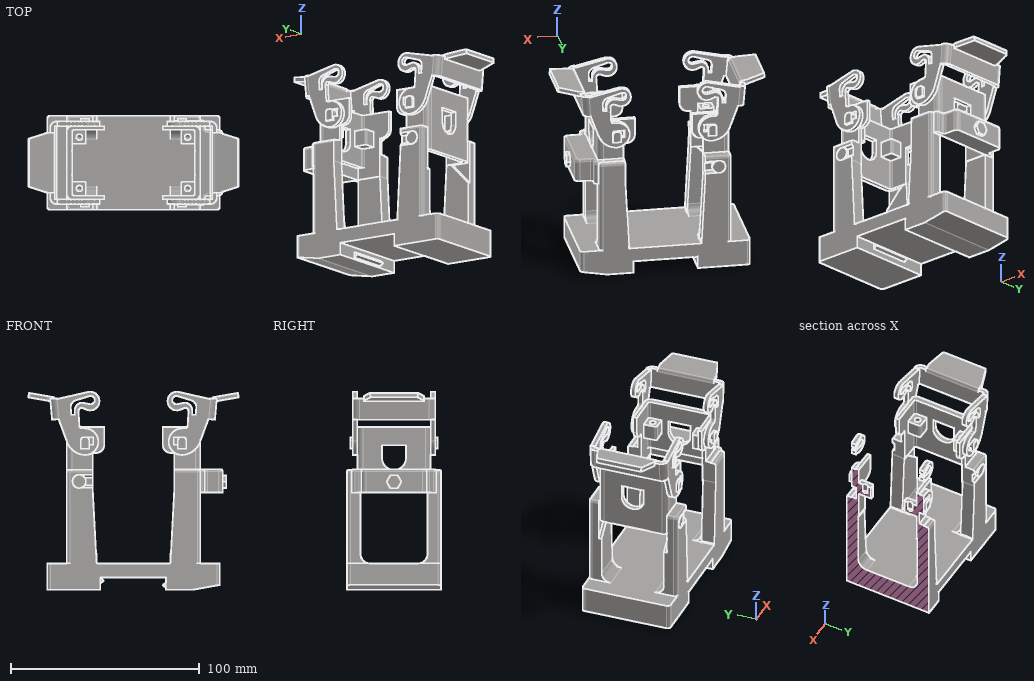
import cadquery as cq
import math

BASE_LENGTH = 91.6
BASE_WIDTH = 50.0
BASE_HEIGHT = 14.1
BASE_CORNER_RADIUS = 1.8
RAIL_DEPTH = 6.5
RAIL_LEFT = -17.5
RAIL_RIGHT = 17.2
TOE_TAPER_START = 31.4
TOE_TAPER_RISE = 2.6
TOOTH_REACH = 1.75
TOOTH_HEIGHT = 3.0
LEFT_TOOTH_Z = 4.9
RIGHT_TOOTH_Z = 2.5
TOOTH_LENGTH = 24.0

LEG_OUTER_X = 35.5
LEG_INNER_X = 21.5
LEG_FOOT_X = 19.5
LEG_TOP = 63.6
LEG_TAPER_TOP = 52.0
LEG_INNER_Y = 17.7
LEG_CORNER_RADIUS = 1.8
LEG_TOP_RADIUS = 1.0
ROOT_RADIUS = 5.0
FOOT_FILLET = 0.6

BRACKET_BOTTOM = 51.7
BRACKET_TOP = 86.4
BRACKET_HALF_WIDTH = 19.4
BRACKET_BACK = 3.0
BRACKET_SIDE = 2.0
BRACKET_BEND_RADIUS = 2.9
BRACKET_INNER_RADIUS = 1.0
EAR_TIP_X = 15.4
EAR_BOTTOM = 72.5
EAR_RADIUS = 4.5
WINDOW_WIDTH = 12.5
WINDOW_TOP = 76.6
WINDOW_BOTTOM = 63.5
SEAT_LOW_Z = 40.6
RIGHT_BACK_BOTTOM = 57.9
LUG_SIZE = 7.3
LUG_TOP = 76.5
LUG_BOTTOM = 68.1
LUG_CORNER_RADIUS = 0.9
LUG_HOLE_X = 28.7
LUG_HOLE_Y = 13.6
LUG_HOLE_RADIUS = 1.6
LUG_HOLE_DEPTH = 5.0

LEVER_THICKNESS = 2.5
LEVER_OUTER_Y = BRACKET_HALF_WIDTH + LEVER_THICKNESS
PIVOT_X = 25.7
PIVOT_Z = 78.5
PIVOT_RADIUS = 7.05
HOOK_X = 23.0
HOOK_RADIUS = 5.0
HOOK_TOP = 105.06
HOOK_Z = HOOK_TOP - HOOK_RADIUS
HOOK_EDGE_SLOPE = 13.6
HOOK_EXIT_ANGLE = 60.0
SPRING_EYE_X = 22.7
SPRING_EYE_Z = 100.6
SPRING_EYE_RADIUS = 2.15
YOKE_OUTER_X = 43.7
YOKE_BOTTOM = 90.1
YOKE_TOP = 101.3
YOKE_BEND_RADIUS = 3.5
YOKE_TILT = 5.0
SIDE_REAR_X = 40.0

SIDE_TOP_REAR = (-40.5, 101.2)
SIDE_YOKE_BOTTOM = (-39.6, YOKE_BOTTOM)
HEEL_REAR = (-35.5, 79.0)
HEEL_MIDDLE = (-32.3, 74.1)
NOTCH_FRONT = (-27.2, 96.4)
NOTCH_MIDDLE = (-28.5, 96.0)
NOTCH_REAR = (-29.1, 95.0)
STEM_FOOT = (-28.6, 86.8)
STEM_FILLET_MIDDLE = (-28.2, 85.9)
STEM_FILLET_END = (-27.3, PIVOT_Z + PIVOT_RADIUS)
SLOT_FOOT_REAR = (-32.9, 92.9)
SLOT_FOOT_FRONT = (-31.2, 92.9)
SLOT_INNER_START = (-31.2, 95.3)
SLOT_INNER_MIDDLE = (-30.0, 98.0)
SLOT_INNER_END = (-27.4, 99.3)
SLOT_OUTER_START = (-30.9, 100.3)
SLOT_OUTER_MIDDLE = (-32.6, 98.9)
SLOT_OUTER_END = (-33.2, 96.5)

TAB_TIP_X = 55.8
TAB_TIP_Z = 102.0
TAB_PITCH = 10.0
TAB_ROOT_X = 41.6
TAB_TAPER_X = 45.5
TAB_ROOT_HALF = 16.0
TAB_TIP_HALF = 12.7
TAB_CORNER_RADIUS = 1.0
TAB_ROOT_RADIUS = 1.2

PIN_WIDTH = 4.4
PIN_HEIGHT = 6.0
PIN_Z = 77.9
PIN_END_Y = 23.3
PIN_TOP_RADIUS = 1.5
PIN_SLOT_WIDTH = 2.1
PIN_SLOT_BOTTOM = 77.0

RIVET_X = -28.8
RIVET_Z = 57.5
RIVET_RADIUS = 3.55
RIVET_RECESS = 0.1
GROOVE_HALF_HEIGHT = 3.45
GROOVE_DEPTH = 1.4

BAR_BOTTOM = 51.6
BAR_TOP = 64.0
BAR_END_X = 47.3
BAR_HALF_WIDTH = 17.4
BAR_CORNER_RADIUS = 2.4
BAR_NECK_RADIUS = 1.4
BAR_SHOULDER_X = 37.8
BAR_SHOULDER_HALF = 22.5
BAR_SHOULDER_RADIUS = 1.6
BAR_TOP_RADIUS = 1.2
SCREW_FLATS = 6.8
SCREW_HEAD = 1.9
SCREW_Z = 57.3


def box(x_range, y_range, z_range):
    """Axis-aligned block between pairs of limits."""
    size = [high - low for low, high in (x_range, y_range, z_range)]
    corner = cq.Vector(x_range[0], y_range[0], z_range[0])
    return cq.Workplane(cq.Solid.makeBox(*size, pnt=corner))


def along_y(sketch, start, end):
    """Extrude an XZ-plane outline from y = start to y = end."""
    return sketch.extrude(start - end).translate((0, start, 0))


def both_y(body):
    """A body together with its mirror image across the XZ plane."""
    return body.union(body.mirror("XZ"))


def both_x(body):
    """A body together with its mirror image across the YZ plane."""
    return body.union(body.mirror("YZ"))


def make_base():
    half = BASE_LENGTH / 2
    outline = (
        cq.Workplane("XZ")
        .moveTo(-half, 0)
        .lineTo(RAIL_LEFT, 0)
        .lineTo(RAIL_LEFT, RAIL_DEPTH)
        .lineTo(RAIL_RIGHT, RAIL_DEPTH)
        .lineTo(RAIL_RIGHT, 0)
        .lineTo(TOE_TAPER_START, 0)
        .lineTo(half, TOE_TAPER_RISE)
        .lineTo(half, BASE_HEIGHT)
        .lineTo(-half, BASE_HEIGHT)
        .close()
    )
    slab = along_y(outline, -BASE_WIDTH / 2, BASE_WIDTH / 2)
    corners = (
        cq.Workplane("XY")
        .rect(BASE_LENGTH, BASE_WIDTH)
        .extrude(BASE_HEIGHT)
        .edges("|Z")
        .fillet(BASE_CORNER_RADIUS)
    )
    base = slab.intersect(corners)
    for wall_x, direction, middle_z in ((RAIL_LEFT, 1, LEFT_TOOTH_Z), (RAIL_RIGHT, -1, RIGHT_TOOTH_Z)):
        base = base.union(make_rail_tooth(wall_x, direction, middle_z))
    return base


def make_rail_tooth(wall_x, direction, middle_z):
    """Triangular tooth that grips the rail, rooted in a wall of the rail notch."""
    outline = cq.Workplane("XZ").polyline([
        (wall_x, middle_z - TOOTH_HEIGHT / 2),
        (wall_x + direction * TOOTH_REACH, middle_z),
        (wall_x, middle_z + TOOTH_HEIGHT / 2),
    ]).close()
    return along_y(outline, -TOOTH_LENGTH / 2, TOOTH_LENGTH / 2)


def make_left_leg():
    """Front leg on the left side, before the bracket seat is cut."""
    outer_y = -BASE_WIDTH / 2
    outline = cq.Workplane("XZ").polyline([
        (-LEG_OUTER_X, BASE_HEIGHT),
        (-LEG_FOOT_X, BASE_HEIGHT),
        (-LEG_INNER_X, LEG_TAPER_TOP),
        (-LEG_INNER_X, LEG_TOP),
        (-LEG_OUTER_X, LEG_TOP),
    ]).close()
    leg = along_y(outline, outer_y, -LEG_INNER_Y)
    leg = leg.edges("|Z and <X and <Y").fillet(LEG_CORNER_RADIUS)
    leg = leg.faces(">Z").edges("<Y or <X").fillet(LEG_TOP_RADIUS)
    return leg.union(make_leg_root()).union(make_foot_fillet())


def make_leg_root():
    """Concave fillet joining the inner face of a leg to the base."""
    root_y = -LEG_INNER_Y + ROOT_RADIUS
    sag = ROOT_RADIUS * (1 - math.sqrt(0.5))
    return (
        cq.Workplane("YZ", origin=(-LEG_OUTER_X, 0, 0))
        .moveTo(-LEG_INNER_Y, BASE_HEIGHT)
        .lineTo(root_y, BASE_HEIGHT)
        .threePointArc(
            (-LEG_INNER_Y + sag, BASE_HEIGHT + sag),
            (-LEG_INNER_Y, BASE_HEIGHT + ROOT_RADIUS),
        )
        .close()
        .extrude(LEG_OUTER_X - LEG_FOOT_X)
    )


def make_foot_fillet():
    """Small concave fillet between the tapered face of a leg and the base."""
    sag = FOOT_FILLET * (1 - math.sqrt(0.5))
    outline = (
        cq.Workplane("XZ")
        .moveTo(-LEG_FOOT_X, BASE_HEIGHT)
        .lineTo(-LEG_FOOT_X + FOOT_FILLET, BASE_HEIGHT)
        .threePointArc(
            (-LEG_FOOT_X + sag, BASE_HEIGHT + sag),
            (-LEG_FOOT_X, BASE_HEIGHT + FOOT_FILLET),
        )
        .close()
    )
    return along_y(outline, -BASE_WIDTH / 2, -LEG_INNER_Y)


def make_bracket_seat():
    """Recess in a leg for the bracket side plate."""
    return box(
        (-LEG_OUTER_X, -LEG_INNER_X),
        (-BRACKET_HALF_WIDTH, -LEG_INNER_Y),
        (BRACKET_BOTTOM, LEG_TOP),
    )


def make_seat_run_out():
    """45 degree run-out below the bracket seat of a left leg."""
    run_out = BRACKET_BOTTOM - SEAT_LOW_Z
    outline = cq.Workplane("XZ").polyline([
        (-LEG_OUTER_X, SEAT_LOW_Z),
        (-LEG_OUTER_X + run_out, BRACKET_BOTTOM),
        (-LEG_OUTER_X, BRACKET_BOTTOM),
    ]).close()
    return along_y(outline, -BRACKET_HALF_WIDTH, -LEG_INNER_Y)


def make_rivet_groove():
    """Bevelled groove from the rivet to the inner edge of the left front leg."""
    outer_y = -BASE_WIDTH / 2
    floor_half = GROOVE_HALF_HEIGHT - GROOVE_DEPTH
    return (
        cq.Workplane("YZ", origin=(RIVET_X, 0, 0))
        .polyline([
            (outer_y, RIVET_Z - GROOVE_HALF_HEIGHT),
            (outer_y + GROOVE_DEPTH, RIVET_Z - floor_half),
            (outer_y + GROOVE_DEPTH, RIVET_Z + floor_half),
            (outer_y, RIVET_Z + GROOVE_HALF_HEIGHT),
        ])
        .close()
        .extrude(-LEG_INNER_X - RIVET_X)
    )


def make_rivet_disc(start_y, end_y):
    """Cylinder on the rivet axis between two y positions."""
    outline = cq.Workplane("XZ").center(RIVET_X, RIVET_Z).circle(RIVET_RADIUS)
    return along_y(outline, start_y, end_y)


def fit_rivets(body):
    """Cut the rivet grooves in the left legs and set the rivet heads in them."""
    outer_y = -BASE_WIDTH / 2
    head_y = outer_y + RIVET_RECESS
    pocket = make_rivet_groove().union(make_rivet_disc(outer_y, head_y))
    head = make_rivet_disc(head_y, outer_y + GROOVE_DEPTH)
    return body.cut(both_y(pocket)).union(both_y(head))


def make_left_bracket():
    inner_half = BRACKET_HALF_WIDTH - BRACKET_SIDE
    back_inner_x = -LEG_OUTER_X + BRACKET_BACK
    y_range = (-BRACKET_HALF_WIDTH, BRACKET_HALF_WIDTH)
    shell = box((-LEG_OUTER_X, -LEG_INNER_X), y_range, (BRACKET_BOTTOM, BRACKET_TOP))
    ears = box((-LEG_INNER_X, -EAR_TIP_X), y_range, (EAR_BOTTOM, BRACKET_TOP))
    shell = shell.edges("|Z and <X").fillet(BRACKET_BEND_RADIUS)
    shell = shell.union(ears.edges("|Y and >X and <Z").fillet(EAR_RADIUS))
    cavity = box((back_inner_x, 0), (-inner_half, inner_half), (BRACKET_BOTTOM, BRACKET_TOP))
    shell = shell.cut(cavity.edges("|Z and <X").fillet(BRACKET_INNER_RADIUS))
    shell = shell.union(both_y(make_lug(back_inner_x, inner_half)))
    return shell.cut(make_window())


def make_right_bracket():
    """Mirrored bracket whose back plate ends higher up."""
    inner_half = BRACKET_HALF_WIDTH - BRACKET_SIDE
    relief = box(
        (LEG_OUTER_X - BRACKET_BACK - BRACKET_INNER_RADIUS, LEG_OUTER_X),
        (-inner_half, inner_half),
        (BRACKET_BOTTOM, RIGHT_BACK_BOTTOM),
    )
    return make_left_bracket().mirror("YZ").cut(relief)


def make_window():
    """D-shaped window through the bracket back plate."""
    half = WINDOW_WIDTH / 2
    arc_z = WINDOW_BOTTOM + half
    return (
        cq.Workplane("YZ", origin=(-LEG_OUTER_X, 0, 0))
        .moveTo(-half, WINDOW_TOP)
        .lineTo(-half, arc_z)
        .threePointArc((0, WINDOW_BOTTOM), (half, arc_z))
        .lineTo(half, WINDOW_TOP)
        .close()
        .extrude(BRACKET_BACK)
    )


def make_lug(back_inner_x, inner_half):
    """Screw lug in the inner bracket corner, with a drilled blind hole."""
    lug = box(
        (back_inner_x - BRACKET_INNER_RADIUS, back_inner_x + LUG_SIZE),
        (-inner_half, -inner_half + LUG_SIZE),
        (LUG_BOTTOM, LUG_TOP),
    )
    lug = lug.edges("|Z and >X and >Y").fillet(LUG_CORNER_RADIUS)
    drill = (
        cq.Workplane("XZ")
        .polyline([
            (0, LUG_TOP),
            (LUG_HOLE_RADIUS, LUG_TOP),
            (LUG_HOLE_RADIUS, LUG_TOP - LUG_HOLE_DEPTH),
            (0, LUG_TOP - LUG_HOLE_DEPTH - LUG_HOLE_RADIUS),
        ])
        .close()
        .revolve(360, (0, 0), (0, 1))
        .translate((-LUG_HOLE_X, -LUG_HOLE_Y, 0))
    )
    return lug.cut(drill)


def make_lever_side():
    """Side plate of the left lever: pivot eye, stem, hook and spring slot."""
    edge = math.radians(90 + HOOK_EDGE_SLOPE)
    exit_angle = math.radians(180 + HOOK_EXIT_ANGLE)
    hook_start = (-HOOK_X + HOOK_RADIUS * math.cos(edge), HOOK_Z + HOOK_RADIUS * math.sin(edge))
    hook_end = (-HOOK_X + HOOK_RADIUS * math.cos(exit_angle), HOOK_Z + HOOK_RADIUS * math.sin(exit_angle))
    outline = (
        cq.Workplane("XZ")
        .moveTo(*SIDE_TOP_REAR)
        .lineTo(*hook_start)
        .threePointArc((-HOOK_X + HOOK_RADIUS, HOOK_Z), hook_end)
        .lineTo(*NOTCH_FRONT)
        .threePointArc(NOTCH_MIDDLE, NOTCH_REAR)
        .lineTo(*STEM_FOOT)
        .threePointArc(STEM_FILLET_MIDDLE, STEM_FILLET_END)
        .lineTo(-PIVOT_X, PIVOT_Z + PIVOT_RADIUS)
        .threePointArc(
            (-PIVOT_X + PIVOT_RADIUS, PIVOT_Z),
            (-PIVOT_X, PIVOT_Z - PIVOT_RADIUS),
        )
        .threePointArc(HEEL_MIDDLE, HEEL_REAR)
        .lineTo(*SIDE_YOKE_BOTTOM)
        .close()
    )
    side = along_y(outline, -LEVER_OUTER_Y, -BRACKET_HALF_WIDTH)
    return side.cut(make_spring_slot()).cut(make_pin_slot())


def make_spring_slot():
    """Curved slot that follows the hook and ends in a round eye."""
    edge = math.radians(90 + HOOK_EDGE_SLOPE)
    eye_top = (
        -SPRING_EYE_X + SPRING_EYE_RADIUS * math.cos(edge),
        SPRING_EYE_Z + SPRING_EYE_RADIUS * math.sin(edge),
    )
    eye_bottom = (eye_top[0], 2 * SPRING_EYE_Z - eye_top[1])
    outline = (
        cq.Workplane("XZ")
        .moveTo(*SLOT_FOOT_REAR)
        .lineTo(*SLOT_FOOT_FRONT)
        .lineTo(*SLOT_INNER_START)
        .threePointArc(SLOT_INNER_MIDDLE, SLOT_INNER_END)
        .lineTo(*eye_bottom)
        .threePointArc((-SPRING_EYE_X + SPRING_EYE_RADIUS, SPRING_EYE_Z), eye_top)
        .lineTo(*SLOT_OUTER_START)
        .threePointArc(SLOT_OUTER_MIDDLE, SLOT_OUTER_END)
        .close()
    )
    return along_y(outline, -LEVER_OUTER_Y, -BRACKET_HALF_WIDTH)


def make_pin_slot():
    """Gap beside the pivot pin in the lever side plate."""
    pin_right = -PIVOT_X + PIN_WIDTH / 2
    return box(
        (pin_right - PIN_SLOT_WIDTH, pin_right + PIN_SLOT_WIDTH),
        (-LEVER_OUTER_Y, -BRACKET_HALF_WIDTH),
        (PIN_SLOT_BOTTOM, PIN_Z + PIN_HEIGHT / 2),
    )


def make_pin():
    pin = box(
        (-PIVOT_X - PIN_WIDTH / 2, -PIVOT_X + PIN_WIDTH / 2),
        (-PIN_END_Y, -BRACKET_HALF_WIDTH + BRACKET_SIDE),
        (PIN_Z - PIN_HEIGHT / 2, PIN_Z + PIN_HEIGHT / 2),
    )
    return pin.edges("|Y and >Z").fillet(PIN_TOP_RADIUS)


def make_yoke():
    """Bent cross plate that joins the two lever side plates."""
    z_range = (YOKE_BOTTOM, YOKE_TOP)
    outer = box((-YOKE_OUTER_X, -SIDE_REAR_X), (-LEVER_OUTER_Y, LEVER_OUTER_Y), z_range)
    outer = outer.edges("|Z and <X").fillet(YOKE_BEND_RADIUS)
    inner = box(
        (-YOKE_OUTER_X + LEVER_THICKNESS, 0),
        (-BRACKET_HALF_WIDTH, BRACKET_HALF_WIDTH),
        z_range,
    )
    yoke = outer.cut(inner)
    middle_z = (YOKE_BOTTOM + YOKE_TOP) / 2
    return yoke.rotate((-YOKE_OUTER_X, 0, middle_z), (-YOKE_OUTER_X, 1, middle_z), -YOKE_TILT)


def make_tab():
    """Sloping thumb tab with a tapered plan."""
    pitch = math.radians(TAB_PITCH)
    run = TAB_TIP_X - TAB_ROOT_X
    drop = run * math.tan(pitch)
    rise = LEVER_THICKNESS / math.cos(pitch)
    tip_shift = LEVER_THICKNESS * math.sin(pitch)
    side = cq.Workplane("XZ").polyline([
        (-TAB_TIP_X, TAB_TIP_Z),
        (-TAB_ROOT_X, TAB_TIP_Z - drop),
        (-TAB_ROOT_X, TAB_TIP_Z - drop + rise),
        (-TAB_TIP_X + tip_shift, TAB_TIP_Z + LEVER_THICKNESS * math.cos(pitch)),
    ]).close()
    plan = (
        cq.Workplane("XY")
        .polyline([
            (-TAB_ROOT_X, -TAB_ROOT_HALF),
            (-TAB_TAPER_X, -TAB_ROOT_HALF),
            (-TAB_TIP_X, -TAB_TIP_HALF),
            (-TAB_TIP_X, TAB_TIP_HALF),
            (-TAB_TAPER_X, TAB_ROOT_HALF),
            (-TAB_ROOT_X, TAB_ROOT_HALF),
        ])
        .close()
        .extrude(TAB_TIP_Z + LEVER_THICKNESS * 2)
        .edges("|Z and <X")
        .fillet(TAB_CORNER_RADIUS)
    )
    slab = along_y(side, -TAB_ROOT_HALF, TAB_ROOT_HALF)
    return slab.edges("|Y and >X").edges(">Z").fillet(TAB_ROOT_RADIUS).intersect(plan)


def make_left_lever():
    return both_y(make_lever_side().union(make_pin())).union(make_yoke()).union(make_tab())


def make_locking_bar():
    """Bar across the back of the right bracket, with shoulders over the leg tops."""
    z_range = (BAR_BOTTOM, BAR_TOP)
    bar = box((LEG_INNER_X, BAR_END_X), (-BAR_HALF_WIDTH, BAR_HALF_WIDTH), z_range)
    bar = bar.edges("|Z and >X").fillet(BAR_CORNER_RADIUS)
    shoulders = box(
        (LEG_INNER_X, BAR_SHOULDER_X),
        (-BAR_SHOULDER_HALF, BAR_SHOULDER_HALF),
        z_range,
    )
    shoulders = shoulders.edges("|Z and >X").fillet(BAR_SHOULDER_RADIUS)
    bar = bar.union(shoulders).union(both_y(make_bar_neck()))
    bar = bar.faces(">Z").edges("not <X").fillet(BAR_TOP_RADIUS)
    bracket_space = box(
        (LEG_INNER_X, LEG_OUTER_X),
        (-BRACKET_HALF_WIDTH, BRACKET_HALF_WIDTH),
        z_range,
    )
    return bar.cut(bracket_space).union(make_screw_head())


def make_bar_neck():
    """Concave fillet between a shoulder and the bar."""
    sag = BAR_NECK_RADIUS * (1 - math.sqrt(0.5))
    return (
        cq.Workplane("XY", origin=(BAR_SHOULDER_X, -BAR_HALF_WIDTH, BAR_BOTTOM))
        .lineTo(BAR_NECK_RADIUS, 0)
        .threePointArc((sag, -sag), (0, -BAR_NECK_RADIUS))
        .close()
        .extrude(BAR_TOP - BAR_BOTTOM)
    )


def make_screw_head():
    """Hexagon head with flats facing up and down."""
    across_corners = SCREW_FLATS / math.cos(math.pi / 6)
    return (
        cq.Workplane("YZ", origin=(BAR_END_X, 0, SCREW_Z))
        .polygon(6, across_corners)
        .extrude(SCREW_HEAD)
    )


left_leg = make_left_leg().cut(make_bracket_seat())
right_leg = left_leg.mirror("YZ")
left_leg = left_leg.cut(make_seat_run_out())
frame = make_base().union(both_y(left_leg)).union(both_y(right_leg))
frame = fit_rivets(frame)
clamps = make_left_bracket().union(make_right_bracket()).union(both_x(make_left_lever()))
result = frame.union(clamps).union(make_locking_bar())